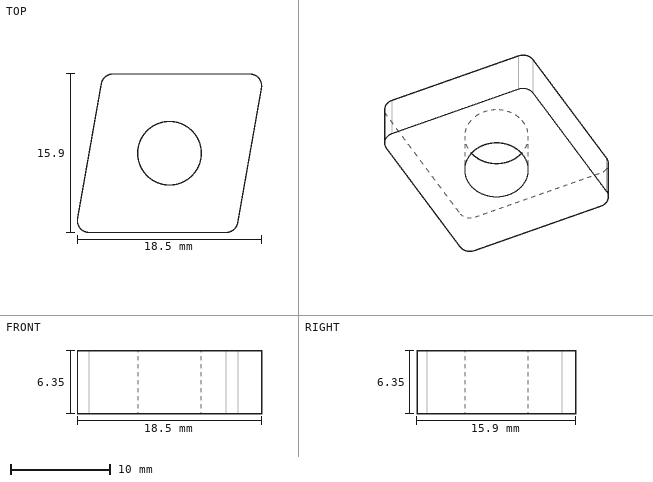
import cadquery as cq
import math

inscribed_diameter = 15.875
thickness = 6.35
hole_diameter = 6.35
nose_radius = 1.2
nose_angle = math.radians(80)

side_length = inscribed_diameter / math.sin(nose_angle)
half_height = inscribed_diameter / 2
half_lean = half_height / math.tan(nose_angle)
half_side = side_length / 2


def make_body():
    """Rhombic prism with all four vertical corners rounded."""
    corners = [
        (-half_side - half_lean, -half_height),
        (half_side - half_lean, -half_height),
        (half_side + half_lean, half_height),
        (-half_side + half_lean, half_height),
    ]
    prism = cq.Workplane("XY").polyline(corners).close().extrude(thickness)
    return prism.edges("|Z").fillet(nose_radius)


def cut_clamping_hole(body):
    """Plain through hole on the inscribed circle's axis."""
    return body.faces(">Z").workplane(origin=(0, 0, thickness)).hole(hole_diameter)


result = cut_clamping_hole(make_body())